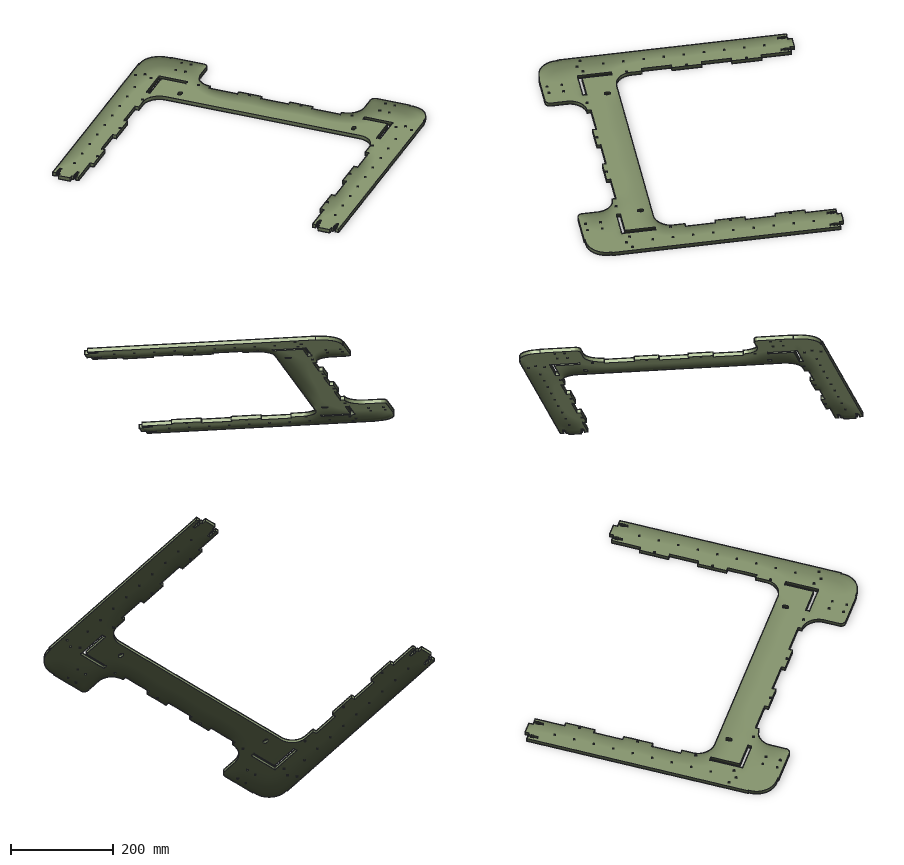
import cadquery as cq

width = 600.0
length = 508.0
thickness = 8.0
half_width = width / 2

tab_depth = thickness
leg_tab_length = 59.5
leg_tab_pitch = 2 * leg_tab_length
leg_tab_count = 2
joint_hole_inset = tab_depth / 2

leg_width = 54.5
leg_outer_x = -half_width
leg_inner_x = leg_outer_x + leg_width
leg_tab_x = leg_inner_x + tab_depth
leg_axis_x = leg_outer_x + 26.5

bar_bottom_y = 362.5
bar_tab_y = 432.5
bar_top_y = bar_tab_y - tab_depth
bar_tab_width = 48.5
bar_tab_pitch = 107.5
bar_tab_x = -bar_tab_pitch / 2

corner_plate_width = 128.0
corner_inner_x = leg_outer_x + corner_plate_width
outer_radius = 41.0
outer_step = 2.0
outer_corner_x = leg_outer_x + 49.0
outer_corner_y = length - 46.0
tip_radius = 9.5
inner_radius = 34.0

corner_slot_bottom_y = bar_top_y - leg_tab_length

leg_root_y = corner_slot_bottom_y - leg_tab_length
leg_tab_bottoms = [leg_root_y - (i + 1) * leg_tab_pitch for i in range(leg_tab_count)]

tongue_length = 8.5
tongue_width = 24.5
tongue_x = leg_outer_x + 27.5
bolt_slot_spacing = 36.5
bolt_slot_width = 4.0
bolt_slot_top_y = 27.5
nut_width = 6.0
nut_height = 6.0
nut_y = 17.0

small_hole = 3.0
large_hole = 4.0
leg_hole_count = 9
leg_hole_first_y = 57.0
leg_hole_span = 319.0
leg_hole_pitch = leg_hole_span / (leg_hole_count - 1)
side_hole_offset = 16.0
side_hole_y = 419.5
mount_small_x = leg_outer_x + 76.0
mount_large_x = leg_outer_x + 96.0
mount_hole_rows = (467.5, 497.0)
cable_slot_x = leg_outer_x + 117.5
cable_slot_y = 384.5
cable_slot_width = 7.0
cable_slot_height = 12.0


def block(x_min, x_max, y_min, y_max):
    """Full-thickness rectangular block between the given limits."""
    return (
        cq.Workplane("XY")
        .box(x_max - x_min, y_max - y_min, thickness, centered=False)
        .translate((x_min, y_min, 0))
    )


def holes(points, diameter):
    """Through-hole cutters at the given points."""
    return cq.Workplane("XY").pushPoints(points).circle(diameter / 2).extrude(thickness)


def half_outline():
    """Left half of the plate, without the separate tabs."""
    step_x = leg_outer_x + outer_step
    step_y = length - outer_step
    return (
        cq.Workplane("XY")
        .moveTo(0, bar_bottom_y)
        .lineTo(leg_tab_x + inner_radius, bar_bottom_y)
        .radiusArc((leg_tab_x, bar_bottom_y - inner_radius), -inner_radius)
        .lineTo(leg_tab_x, leg_root_y)
        .lineTo(leg_inner_x, leg_root_y)
        .lineTo(leg_inner_x, tongue_length)
        .lineTo(leg_outer_x, tongue_length)
        .lineTo(leg_outer_x, outer_corner_y)
        .lineTo(step_x, outer_corner_y)
        .lineTo(step_x, step_y - outer_radius)
        .radiusArc((step_x + outer_radius, step_y), outer_radius)
        .lineTo(outer_corner_x, step_y)
        .lineTo(outer_corner_x, length)
        .lineTo(corner_inner_x - tip_radius, length)
        .radiusArc((corner_inner_x, length - tip_radius), tip_radius)
        .lineTo(corner_inner_x, bar_tab_y + inner_radius)
        .radiusArc((corner_inner_x + inner_radius, bar_tab_y), -inner_radius)
        .lineTo(corner_inner_x + inner_radius, bar_top_y)
        .lineTo(0, bar_top_y)
        .close()
        .extrude(thickness)
    )


def add_tabs(body):
    """Bar tab, leg tabs and the tongue at the leg end."""
    half_tab = bar_tab_width / 2
    body = body.union(block(bar_tab_x - half_tab, bar_tab_x + half_tab, bar_bottom_y, bar_tab_y))
    for y in leg_tab_bottoms:
        body = body.union(block(leg_axis_x, leg_tab_x, y, y + leg_tab_length))
    half_tongue = tongue_width / 2
    return body.union(block(tongue_x - half_tongue, tongue_x + half_tongue, 0, bolt_slot_top_y))


def cut_corner_slot(body):
    """L-shaped slot where the leg meets the bar."""
    upright = block(leg_inner_x, leg_tab_x, corner_slot_bottom_y, bar_tab_y)
    level = block(leg_inner_x, leg_inner_x + leg_tab_length, bar_top_y, bar_tab_y)
    return body.cut(upright).cut(level)


def cut_bolt_slots(body):
    """Open bolt slots with nut pockets on both sides of the tongue."""
    for side in (-1, 1):
        x = tongue_x + side * bolt_slot_spacing / 2
        half_bolt = bolt_slot_width / 2
        half_nut = nut_width / 2
        body = body.cut(block(x - half_bolt, x + half_bolt, 0, bolt_slot_top_y))
        body = body.cut(block(x - half_nut, x + half_nut, nut_y - nut_height / 2, nut_y + nut_height / 2))
    return body


def cut_holes(body):
    """Round holes and the short cable slot of one half."""
    leg_row = [(leg_axis_x, leg_hole_first_y + i * leg_hole_pitch) for i in range(leg_hole_count)]
    mount_small = [(mount_small_x, y) for y in mount_hole_rows]
    mount_large = [(mount_large_x, y) for y in mount_hole_rows]

    joint_y = bar_tab_y - joint_hole_inset
    bar_joints = [(bar_tab_x, joint_y), (bar_tab_x - bar_tab_pitch, joint_y)]
    corner = [(leg_axis_x, joint_y)]
    corner += [(leg_axis_x + side * side_hole_offset, side_hole_y) for side in (-1, 1)]

    tab_bottoms = [leg_root_y] + leg_tab_bottoms
    leg_joints = [(leg_tab_x - joint_hole_inset, y + leg_tab_length / 2) for y in tab_bottoms]

    cable_slot = (
        cq.Workplane("XY")
        .center(cable_slot_x, cable_slot_y)
        .slot2D(cable_slot_height, cable_slot_width, 90)
        .extrude(thickness)
    )
    body = body.cut(holes(leg_row + mount_small, small_hole))
    body = body.cut(holes(mount_large + bar_joints + corner + leg_joints, large_hole))
    return body.cut(cable_slot)


half = cut_holes(cut_bolt_slots(cut_corner_slot(add_tabs(half_outline()))))
result = half.union(half.mirror("YZ")).clean()